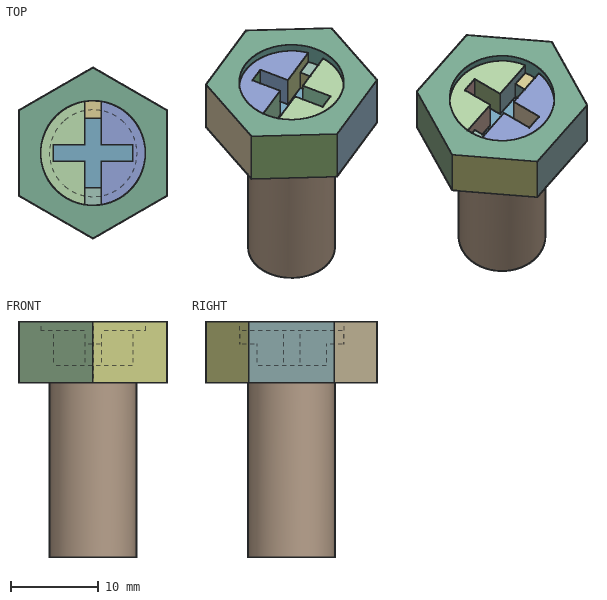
import cadquery as cq

head_across_flats = 17.0
head_height = 7.0

shank_diameter = 10.0
shank_length = 20.0

recess_diameter = 12.0
recess_depth = 1.0

slot_width = 1.93
slot_depth = 4.0
slot_length_x = 9.1
slot_length_y = 8.0

step_depth = 1.5

head_top = shank_length + head_height
recess_floor = head_top - recess_depth


def make_shank():
    return cq.Workplane("XY").circle(shank_diameter / 2).extrude(shank_length)


def make_head():
    """Hexagonal prism with two flats facing -X and +X."""
    hexagon_sides = 6
    return (
        cq.Workplane("XY", origin=(0, 0, shank_length))
        .polygon(hexagon_sides, head_across_flats, circumscribed=True)
        .extrude(head_height)
    )


def make_round_cutter(depth):
    """Cutter with the recess diameter, reaching down from the top of the head."""
    return (
        cq.Workplane("XY", origin=(0, 0, head_top))
        .circle(recess_diameter / 2)
        .extrude(-depth)
    )


def make_slot(length_x, length_y, depth):
    """Rectangular cutter reaching down from the recess floor."""
    return (
        cq.Workplane("XY", origin=(0, 0, recess_floor))
        .rect(length_x, length_y)
        .extrude(-depth)
    )


def make_recess():
    """Round recess together with the steps, which end flush with its wall."""
    step_band = make_slot(slot_width, recess_diameter, step_depth)
    steps = make_round_cutter(recess_depth + step_depth).intersect(step_band)
    return make_round_cutter(recess_depth).union(steps)


def make_cross_slot():
    slot_along_x = make_slot(slot_length_x, slot_width, slot_depth)
    slot_along_y = make_slot(slot_width, slot_length_y, slot_depth)
    return slot_along_x.union(slot_along_y)


result = make_shank().union(make_head()).cut(make_recess()).cut(make_cross_slot())